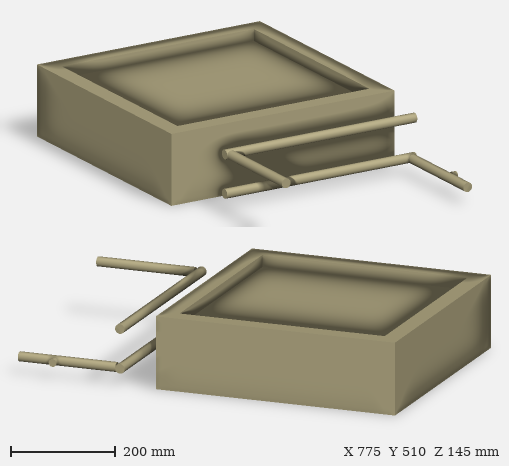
import cadquery as cq

TRAY_X = 491.0
TRAY_Y = 500.0
TRAY_Z = 145.0
TRAY_WALL = 35.0
POCKET_DEPTH = 24.0

BAR_DIAMETER = 19.0
ARM_LENGTH = 200.0
TOTAL_X = 775.0
CROSSBAR_LENGTH = 426.0
LOWER_BAR_Z = 32.5
UPPER_BAR_Z = 111.5

PEG_DIAMETER = 15.5
PEG_LENGTH = 10.0
PEG_TO_ARM_TIP = 75.0

BAR_RADIUS = BAR_DIAMETER / 2
ARM_START_X = TOTAL_X - ARM_LENGTH
CROSSBAR_X = ARM_START_X - BAR_RADIUS
FRONT_Y = TRAY_Y - CROSSBAR_LENGTH
FRONT_ARM_Y = FRONT_Y + BAR_RADIUS
BACK_ARM_Y = TRAY_Y - BAR_RADIUS
PEG_X = TOTAL_X - PEG_TO_ARM_TIP

X_AXIS = cq.Vector(1, 0, 0)
Y_AXIS = cq.Vector(0, 1, 0)


def make_tray():
    """Rectangular block with a shallow pocket in its top."""
    block = cq.Workplane("XY").box(TRAY_X, TRAY_Y, TRAY_Z, centered=False)
    pocket_x = TRAY_X - 2 * TRAY_WALL
    pocket_y = TRAY_Y - 2 * TRAY_WALL
    top = block.faces(">Z").workplane(centerOption="CenterOfBoundBox")
    return top.rect(pocket_x, pocket_y).cutBlind(-POCKET_DEPTH)


def make_crossbar(z):
    """Round bar along Y at height z."""
    start = cq.Vector(CROSSBAR_X, FRONT_Y, z)
    return cq.Solid.makeCylinder(BAR_RADIUS, CROSSBAR_LENGTH, start, Y_AXIS)


def make_arm(y, z):
    """Round bar along X whose square-cut end touches the side of its crossbar."""
    start = cq.Vector(ARM_START_X, y, z)
    return cq.Solid.makeCylinder(BAR_RADIUS, ARM_LENGTH, start, X_AXIS)


def make_peg():
    """Round peg along Y whose flat end touches the outer side of the lower arm."""
    start = cq.Vector(PEG_X, TRAY_Y, LOWER_BAR_Z)
    return cq.Solid.makeCylinder(PEG_DIAMETER / 2, PEG_LENGTH, start, Y_AXIS)


tray = make_tray()
crossbars = [make_crossbar(z) for z in (LOWER_BAR_Z, UPPER_BAR_Z)]

arm_places = [(BACK_ARM_Y, LOWER_BAR_Z), (FRONT_ARM_Y, UPPER_BAR_Z)]
arms = [make_arm(y, z) for y, z in arm_places]
peg = make_peg()

result = cq.Compound.makeCompound([tray.val(), *crossbars, *arms, peg])